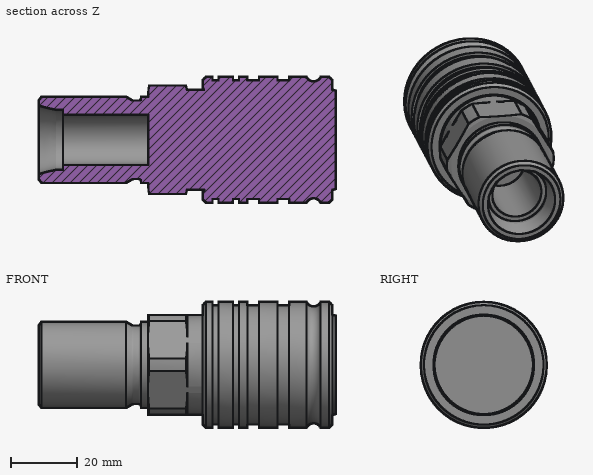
import math

import cadquery as cq

length = 89.5
stub_end = 26.3
shoulder_start = 30.8
hex_start = 32.9
hex_end = 44.75
sleeve_start = 49.4
sleeve_end = 88.4

stub_radius = 26.0 / 2
stub_tip_radius = 23.8 / 2
stub_chamfer = 0.9
relief_radius = 23.7 / 2
relief_corner_radius = 25.0 / 2 - relief_radius
runout_angle = math.radians(30)
runout_blend = 1.1

socket_mouth_radius = 20.6 / 2
socket_step_radius = 18.0 / 2
socket_bore_radius = 15.0 / 2
socket_cone_depth = 5.3
socket_step_depth = 7.3
socket_depth = hex_start

hex_sides = 6
across_flats = 30.1
flat_rotation = 30
hex_turned_radius = 32.8 / 2
hex_chamfer_angle = math.radians(15)
collar_radius = 30.2 / 2

sleeve_radius = 38.0 / 2
sleeve_groove_radius = 36.0 / 2
sleeve_chamfer = sleeve_radius - sleeve_groove_radius
sleeve_grooves = [(52.4, 54.15), (58.5, 60.3), (62.8, 66.3), (72.0, 75.45)]
cut_margin = 0.9
grip_start = 80.6
grip_end = 84.9
grip_arc_radius = 4.7 / 2
recess_radius = 31.15 / 2
recess_depth = 0.45

lip_root_radius = 30.3 / 2
lip_tip_radius = 29.6 / 2


def revolve(profile):
    """Turn a closed (x, radius) profile around the X axis."""
    return profile.close().revolve(360, (0, 0, 0), (1, 0, 0))


def ring(start, end, inner_radius, outer_radius):
    """Plain rectangular ring around the X axis."""
    return (
        cq.Workplane("YZ", origin=(start, 0, 0))
        .circle(outer_radius)
        .circle(inner_radius)
        .extrude(end - start)
    )


def make_stub():
    """Stub whose runout cone blends into the relief groove before the shoulder."""
    blend_drop = runout_blend * (1 - math.cos(runout_angle))
    cone_drop = stub_radius - relief_radius - blend_drop
    cone_end = stub_end + cone_drop / math.tan(runout_angle)
    blend_end = cone_end + runout_blend * math.sin(runout_angle)
    half_angle = runout_angle / 2
    blend_middle = (
        blend_end - runout_blend * math.sin(half_angle),
        relief_radius + runout_blend * (1 - math.cos(half_angle)),
    )
    corner_start = shoulder_start - relief_corner_radius
    corner_middle = (
        corner_start + relief_corner_radius * math.sin(math.pi / 4),
        relief_radius + relief_corner_radius * (1 - math.cos(math.pi / 4)),
    )
    return revolve(
        cq.Workplane("XZ")
        .moveTo(0, 0)
        .lineTo(0, stub_tip_radius)
        .lineTo(stub_chamfer, stub_radius)
        .lineTo(stub_end, stub_radius)
        .lineTo(cone_end, relief_radius + blend_drop)
        .threePointArc(blend_middle, (blend_end, relief_radius))
        .lineTo(corner_start, relief_radius)
        .threePointArc(corner_middle, (shoulder_start, relief_radius + relief_corner_radius))
        .lineTo(shoulder_start, stub_radius)
        .lineTo(hex_start, stub_radius)
        .lineTo(hex_start, 0)
    )


def make_socket():
    """Conical mouth, short step and blind bore cut into the stub."""
    return revolve(
        cq.Workplane("XZ")
        .moveTo(0, 0)
        .lineTo(0, socket_mouth_radius)
        .lineTo(socket_cone_depth, socket_step_radius)
        .lineTo(socket_step_depth, socket_step_radius)
        .lineTo(socket_step_depth, socket_bore_radius)
        .lineTo(socket_depth, socket_bore_radius)
        .lineTo(socket_depth, 0)
    )


def make_hex_and_collar():
    """Chamfered hex; its flats run on as narrow strips along the round collar."""
    face_radius = across_flats / 2
    chamfer = (hex_turned_radius - face_radius) * math.tan(hex_chamfer_angle)
    envelope = revolve(
        cq.Workplane("XZ")
        .moveTo(hex_start, 0)
        .lineTo(hex_start, face_radius)
        .lineTo(hex_start + chamfer, hex_turned_radius)
        .lineTo(hex_end - chamfer, hex_turned_radius)
        .lineTo(hex_end, collar_radius)
        .lineTo(sleeve_start + recess_depth, collar_radius)
        .lineTo(sleeve_start + recess_depth, 0)
    )
    prism = (
        cq.Workplane("YZ", origin=(hex_start, 0, 0))
        .transformed(rotate=(0, 0, flat_rotation))
        .polygon(hex_sides, across_flats, circumscribed=True)
        .extrude(sleeve_start + recess_depth - hex_start)
    )
    return envelope.intersect(prism)


def make_sleeve():
    """Sleeve with a recessed rear face, an arc-shaped grip groove and a front lip."""
    grip_middle = (grip_start + grip_end) / 2
    half_chord = (grip_end - grip_start) / 2
    grip_depth = grip_arc_radius - math.sqrt(grip_arc_radius**2 - half_chord**2)
    sleeve = revolve(
        cq.Workplane("XZ")
        .moveTo(sleeve_start + recess_depth, 0)
        .lineTo(sleeve_start + recess_depth, collar_radius)
        .lineTo(sleeve_start, recess_radius)
        .lineTo(sleeve_start, sleeve_groove_radius)
        .lineTo(sleeve_start + sleeve_chamfer, sleeve_radius)
        .lineTo(grip_start, sleeve_radius)
        .threePointArc((grip_middle, sleeve_radius - grip_depth), (grip_end, sleeve_radius))
        .lineTo(sleeve_end - sleeve_chamfer, sleeve_radius)
        .lineTo(sleeve_end, sleeve_groove_radius)
        .lineTo(sleeve_end, lip_root_radius)
        .lineTo(length, lip_tip_radius)
        .lineTo(length, 0)
    )
    for start, end in sleeve_grooves:
        sleeve = sleeve.cut(ring(start, end, sleeve_groove_radius, sleeve_radius + cut_margin))
    return sleeve


result = make_stub().union(make_hex_and_collar()).union(make_sleeve()).cut(make_socket())